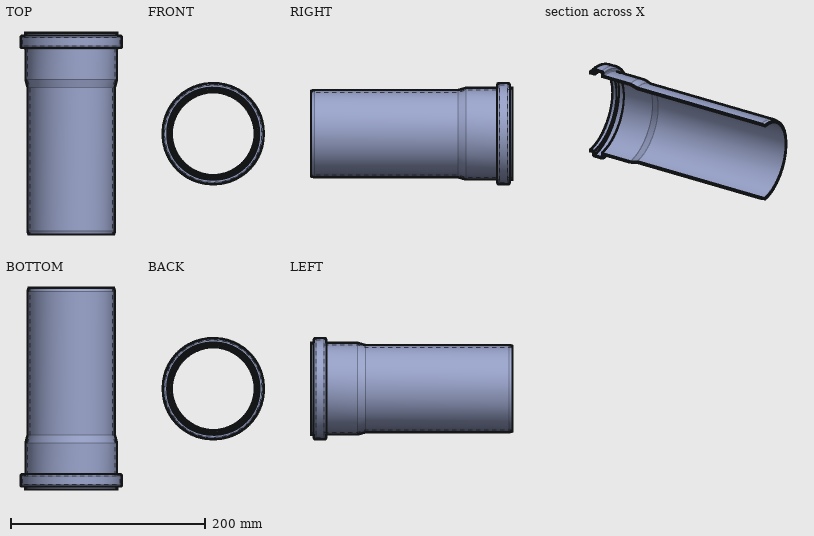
import cadquery as cq

total_length = 208.0
spigot_chamfer_length = 3.8
mouth_to_bead = 3.05
bead_width = 12.9
mouth_to_taper = 48.0
taper_length = 8.2

spigot_outer = 90.2
spigot_bore = 85.4
spigot_tip = 88.2
socket_bore = 90.5
mouth_bore = 90.8
groove_diameter = 100.3

socket_wall = 2.1
bead_edge_radius = 2.1
bead_root_radius = 0.8

socket_radius = socket_bore / 2 + socket_wall
mouth_radius = mouth_bore / 2 + socket_wall
bead_radius = groove_diameter / 2 + socket_wall

bead_front = total_length - mouth_to_bead
bead_back = bead_front - bead_width
groove_front = bead_front - socket_wall
groove_back = bead_back + socket_wall
taper_wide = total_length - mouth_to_taper
taper_narrow = taper_wide - taper_length


def revolve_about_axis(half_profile):
    """Turn a closed half profile, drawn as (radius, Y), about the Y axis."""
    return half_profile.close().revolve(360, (0, 0, 0), (0, 1, 0))


def make_outside():
    """Solid bounded by the outside of the spigot, taper, socket and bead."""
    half_profile = (
        cq.Workplane("XY")
        .moveTo(0, 0)
        .lineTo(spigot_tip / 2, 0)
        .lineTo(spigot_outer / 2, spigot_chamfer_length)
        .lineTo(spigot_outer / 2, taper_narrow)
        .lineTo(socket_radius, taper_wide)
        .lineTo(socket_radius, bead_back - bead_root_radius)
        .tangentArcPoint((bead_root_radius, bead_root_radius))
        .lineTo(bead_radius - bead_edge_radius, bead_back)
        .tangentArcPoint((bead_edge_radius, bead_edge_radius))
        .lineTo(bead_radius, bead_front - bead_edge_radius)
        .tangentArcPoint((-bead_edge_radius, bead_edge_radius))
        .lineTo(mouth_radius + bead_root_radius, bead_front)
        .tangentArcPoint((-bead_root_radius, bead_root_radius))
        .lineTo(mouth_radius, total_length)
        .lineTo(0, total_length)
    )
    return revolve_about_axis(half_profile)


def make_bore():
    """Solid filling the through bore, the socket and its seal groove."""
    half_profile = (
        cq.Workplane("XY")
        .moveTo(0, 0)
        .lineTo(spigot_bore / 2, 0)
        .lineTo(spigot_bore / 2, taper_narrow)
        .lineTo(socket_bore / 2, taper_wide)
        .lineTo(socket_bore / 2, groove_back)
        .lineTo(groove_diameter / 2, groove_back)
        .lineTo(groove_diameter / 2, groove_front)
        .lineTo(mouth_bore / 2, groove_front)
        .lineTo(mouth_bore / 2, total_length)
        .lineTo(0, total_length)
    )
    return revolve_about_axis(half_profile)


result = make_outside().cut(make_bore())